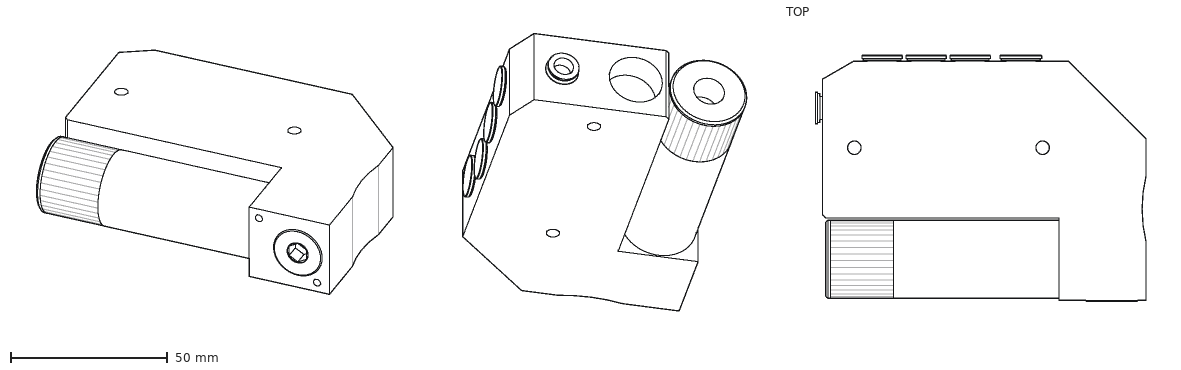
import cadquery as cq
import math

BODY_LENGTH = 103.3
BODY_DEPTH = 76.3
BODY_HEIGHT = 26.0
STEP_X = 75.4
STEP_Y = 26.2
REAR_LEFT_CHAMFER_X = 10.0
REAR_LEFT_CHAMFER_Y = REAR_LEFT_CHAMFER_X * math.tan(math.radians(30))
REAR_RIGHT_CHAMFER = 24.8
FRONT_LEFT_CHAMFER = 1.2
RECESS_Y = 29.1
RECESS_WIDTH = 21.1
RECESS_DEPTH = 1.3

MOUNT_HOLE_DIAMETER = 4.2
MOUNT_HOLE_Y = 48.6
MOUNT_HOLE_XS = (10.2, 70.3)

BORE_DIAMETER = 17.3
BORE_DEPTH = 10.0
BORE_Y = 37.2

CYLINDER_DIAMETER = 25.0
CYLINDER_START_X = 1.1
CYLINDER_Y = 13.1
CYLINDER_CHAMFER = 0.7
CYLINDER_BORE_DIAMETER = 10.0
CYLINDER_BORE_DEPTH = 10.5
KNURL_START = 1.6
KNURL_LENGTH = 20.0
KNURL_SIDES = 36
KNURL_TURN = 2.2

LEFT_PORT_Y = 61.3
LEFT_PORT_PROFILE = ((7.4, 0.7), (9.4, 0.7), (10.1, 0.7))
LEFT_PORT_BORE_DIAMETER = 6.3
LEFT_PORT_BORE_DEPTH = 4.0
LEFT_PORT_SEAT_DIAMETER = 10.8
LEFT_PORT_SEAT_DEPTH = 0.2

REAR_PORT_NECK_DIAMETER = 9.4
REAR_PORT_NECK = 0.3
REAR_PORT_STEP = 0.4
REAR_PORT_RIM = 1.2
REAR_PORT_BEVEL = 0.2
REAR_PORT_STEP_INSET = 0.8
REAR_PORT_COUNT = 3
REAR_PORT_PITCH = 14.0
REAR_PORT_FIRST_X = 19.1
REAR_PORT_STAGGER = 4.4
REAR_PORT_DIAMETER = 13.0
WIDE_REAR_PORT_X = 63.3
WIDE_REAR_PORT_DIAMETER = 13.4

PLUG_X = 92.3
PLUG_DIAMETER = 16.9
PLUG_TOP_DIAMETER = 16.0
PLUG_HEIGHT = 0.3
SOCKET_ACROSS_FLATS = 6.0
SOCKET_DEPTH = 5.3
SOCKET_RIM_DIAMETER = 7.2
SOCKET_RIM_DEPTH = 0.3

PIN_HOLE_DIAMETER = 2.4
PIN_HOLE_DEPTH = 4.2
UPPER_PIN_HOLE = (78.8, 9.6)
LOWER_PIN_HOLE = (99.0, -9.6)
DRILL_POINT_ANGLE = 118

LEFT = cq.Vector(-1, 0, 0)
RIGHT = cq.Vector(1, 0, 0)
FRONT = cq.Vector(0, -1, 0)
REAR = cq.Vector(0, 1, 0)
UP = cq.Vector(0, 0, 1)


def rod(diameter, length, base, direction):
    """Solid cylinder that starts at base and runs along direction."""
    return cq.Workplane(cq.Solid.makeCylinder(diameter / 2, length, cq.Vector(*base), direction))


def cone(base_diameter, tip_diameter, length, base, direction):
    """Solid cone or frustum that starts at base and runs along direction."""
    radii = (base_diameter / 2, tip_diameter / 2)
    return cq.Workplane(cq.Solid.makeCone(*radii, length, cq.Vector(*base), direction))


def stepped_rod(profile, base, direction):
    """Coaxial cylinders, each a (diameter, length) pair, stacked along direction."""
    start = cq.Vector(*base)
    stack = cq.Workplane()
    for diameter, length in profile:
        stack = stack.add(rod(diameter, length, start.toTuple(), direction))
        start = start + direction * length
    return stack.combine()


def make_body():
    return (
        cq.Workplane("XY", origin=(0, 0, -BODY_HEIGHT / 2))
        .moveTo(STEP_X, 0)
        .lineTo(BODY_LENGTH, 0)
        .lineTo(BODY_LENGTH, RECESS_Y - RECESS_WIDTH / 2)
        .threePointArc(
            (BODY_LENGTH - RECESS_DEPTH, RECESS_Y),
            (BODY_LENGTH, RECESS_Y + RECESS_WIDTH / 2),
        )
        .lineTo(BODY_LENGTH, BODY_DEPTH - REAR_RIGHT_CHAMFER)
        .lineTo(BODY_LENGTH - REAR_RIGHT_CHAMFER, BODY_DEPTH)
        .lineTo(REAR_LEFT_CHAMFER_X, BODY_DEPTH)
        .lineTo(0, BODY_DEPTH - REAR_LEFT_CHAMFER_Y)
        .lineTo(0, STEP_Y + FRONT_LEFT_CHAMFER)
        .lineTo(FRONT_LEFT_CHAMFER, STEP_Y)
        .lineTo(STEP_X, STEP_Y)
        .close()
        .extrude(BODY_HEIGHT)
    )


def make_cylinder():
    """Cylinder with a chamfered free end, a band of narrow flats and an axial bore."""
    axis_start = (CYLINDER_START_X, CYLINDER_Y, 0)
    cylinder = rod(CYLINDER_DIAMETER, STEP_X - CYLINDER_START_X, axis_start, RIGHT)
    cylinder = cylinder.faces("<X").chamfer(CYLINDER_CHAMFER)
    band_start = (CYLINDER_START_X + KNURL_START, CYLINDER_Y, 0)
    band = rod(CYLINDER_DIAMETER, KNURL_LENGTH, band_start, RIGHT)
    flats = (
        cq.Workplane("YZ", origin=band_start)
        .transformed(rotate=(0, 0, KNURL_TURN))
        .polygon(KNURL_SIDES, CYLINDER_DIAMETER)
        .extrude(KNURL_LENGTH)
    )
    bore = rod(CYLINDER_BORE_DIAMETER, CYLINDER_BORE_DEPTH, axis_start, RIGHT)
    return cylinder.cut(band.cut(flats)).cut(bore)


def add_left_port(part):
    seat = rod(LEFT_PORT_SEAT_DIAMETER, LEFT_PORT_SEAT_DEPTH, (0, LEFT_PORT_Y, 0), RIGHT)
    neck_diameter = LEFT_PORT_PROFILE[0][0]
    profile = ((neck_diameter, LEFT_PORT_SEAT_DEPTH),) + LEFT_PORT_PROFILE
    port = stepped_rod(profile, (LEFT_PORT_SEAT_DEPTH, LEFT_PORT_Y, 0), LEFT)
    tip_x = -sum(length for _, length in LEFT_PORT_PROFILE)
    bore = rod(LEFT_PORT_BORE_DIAMETER, LEFT_PORT_BORE_DEPTH, (tip_x, LEFT_PORT_Y, 0), RIGHT)
    return part.cut(seat).union(port).cut(bore)


def make_rear_port(x, z, diameter):
    profile = (
        (REAR_PORT_NECK_DIAMETER, REAR_PORT_NECK),
        (diameter - REAR_PORT_STEP_INSET, REAR_PORT_STEP),
        (diameter, REAR_PORT_RIM),
    )
    port = stepped_rod(profile, (x, BODY_DEPTH, z), REAR)
    return port.faces(">Y").chamfer(REAR_PORT_BEVEL)


def add_rear_ports(part):
    middle = (REAR_PORT_COUNT - 1) / 2
    for index in range(REAR_PORT_COUNT):
        x = REAR_PORT_FIRST_X + index * REAR_PORT_PITCH
        z = (middle - index) * REAR_PORT_STAGGER
        part = part.union(make_rear_port(x, z, REAR_PORT_DIAMETER))
    return part.union(make_rear_port(WIDE_REAR_PORT_X, 0, WIDE_REAR_PORT_DIAMETER))


def add_plug(part):
    """Raised tapered disc with a hexagon socket that opens into a round recess."""
    plug = cone(PLUG_DIAMETER, PLUG_TOP_DIAMETER, PLUG_HEIGHT, (PLUG_X, 0, 0), FRONT)
    socket_plane = cq.Workplane("XZ", origin=(PLUG_X, -PLUG_HEIGHT, 0))
    across_corners = SOCKET_ACROSS_FLATS / math.cos(math.radians(30))
    socket = (
        socket_plane.transformed(rotate=(0, 0, 30))
        .polygon(6, across_corners)
        .extrude(-SOCKET_DEPTH)
    )
    rim = rod(SOCKET_RIM_DIAMETER, SOCKET_RIM_DEPTH, (PLUG_X, -PLUG_HEIGHT, 0), REAR)
    return part.union(plug).cut(socket).cut(rim)


def cut_holes(part):
    for x in MOUNT_HOLE_XS:
        base = (x, MOUNT_HOLE_Y, -BODY_HEIGHT / 2)
        part = part.cut(rod(MOUNT_HOLE_DIAMETER, BODY_HEIGHT, base, UP))
    for x, z in (UPPER_PIN_HOLE, LOWER_PIN_HOLE):
        part = part.cut(rod(PIN_HOLE_DIAMETER, PIN_HOLE_DEPTH, (x, 0, z), REAR))
    point_length = PIN_HOLE_DIAMETER / 2 / math.tan(math.radians(DRILL_POINT_ANGLE / 2))
    point_base = (UPPER_PIN_HOLE[0], PIN_HOLE_DEPTH, UPPER_PIN_HOLE[1])
    part = part.cut(cone(PIN_HOLE_DIAMETER, 0, point_length, point_base, REAR))
    return part.cut(rod(BORE_DIAMETER, BORE_DEPTH, (0, BORE_Y, 0), RIGHT))


part = make_body().union(make_cylinder())
part = add_left_port(part)
part = add_rear_ports(part)
part = add_plug(part)
result = cut_holes(part)